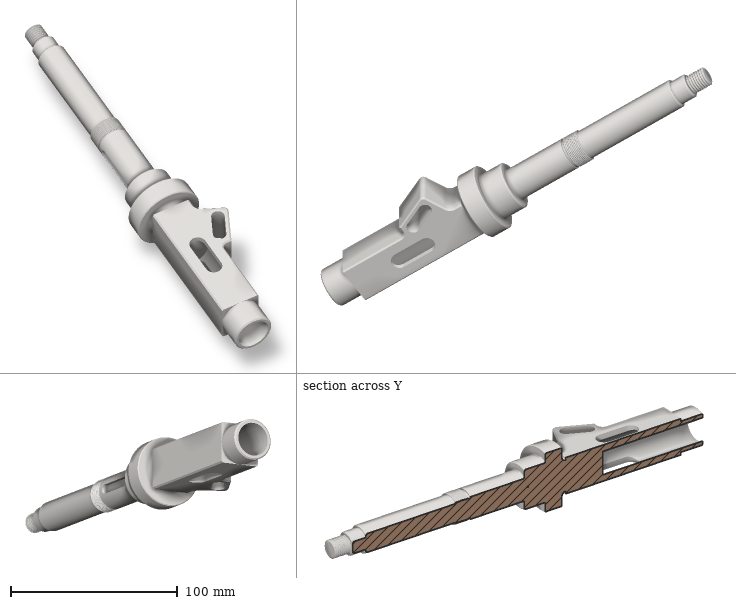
import cadquery as cq
import math

TIP_THREAD_END = 12.2
PILOT_END = 22.0
SHAFT_END = 88.0
COLLAR_THREAD_END = 97.8
KEY_SEAT_START = 99.2
BOSS_START = 139.0
FLANGE_START = 154.5
FLANGE_END = 167.0
BLOCK_START = 169.5
BLOCK_END = 254.7
LENGTH = 271.0

TIP_THREAD_DIA = 12.0
PILOT_DIA = 15.2
SHAFT_DIA = 18.2
COLLAR_THREAD_DIA = 20.0
KEY_SEAT_DIA = 20.0
RELIEF_DIA = 18.5
BOSS_DIA = 30.0
FLANGE_DIA = 42.0
TAIL_DIA = 25.0

EDGE_CHAMFER = 0.8
FLANGE_CHAMFER = 0.5
SHOULDER_FILLET = 0.8
BLOCK_CHAMFER = 0.95

TIP_THREAD_PITCH = 1.52
COLLAR_THREAD_PITCH = 1.0
THREAD_DEPTH_RATIO = 0.6
THREAD_FLAT_RATIO = 0.125

KEYWAY_START = 102.5
KEYWAY_END = 134.0
KEYWAY_WIDTH = 5.7
KEYWAY_DEPTH = 3.0

BLOCK_SIZE = TAIL_DIA
SLOT_CENTER_X = 212.2
SLOT_LENGTH = 29.8
SLOT_WIDTH = 10.3

BORE_DIA = 20.0
BORE_FLOOR = SLOT_CENTER_X - SLOT_LENGTH / 2

LUG_TILT = 25.0
OVERALL_WIDTH = 50.5
LUG_TOP_Y = OVERALL_WIDTH - FLANGE_DIA / 2
LUG_CORNER_X = 185.5
LUG_END_X = 209.5
LUG_PEAK_FILLET = 2.7
LUG_FRONT_FILLET = 5.5
LUG_BACK_FILLET = 3.3
LUG_SLOT_CENTER = (195.7, 18.2)
LUG_SLOT_LENGTH = 21.7
LUG_SLOT_WIDTH = 8.0


def cylinder(start, end, diameter):
    return cq.Workplane("YZ").workplane(offset=start).circle(diameter / 2).extrude(end - start)


def threaded_cylinder(start, end, diameter, nominal_pitch):
    """Revolve an outline of whole trapezoidal teeth that fills the stretch from start to end."""
    pitches = round((end - start) / nominal_pitch)
    pitch = (end - start) / pitches
    crest = diameter / 2
    root = crest - THREAD_DEPTH_RATIO * pitch
    half_flat = THREAD_FLAT_RATIO * pitch / 2
    outline = [(start, 0), (start, root)]
    for i in range(pitches):
        left = start + i * pitch
        middle = left + pitch / 2
        right = left + pitch
        outline.append((left + half_flat, root))
        outline.append((middle - half_flat, crest))
        outline.append((middle + half_flat, crest))
        outline.append((right - half_flat, root))
    outline += [(end, root), (end, 0)]
    return cq.Workplane("XY").polyline(outline).close().revolve(360, (0, 0, 0), (1, 0, 0))


def shoulder_fillet(shoulder_x, diameter, fillet, toward):
    """Concave ring at the foot of a shoulder; toward is the X direction (+1 or -1) away from it."""
    radius = diameter / 2
    sagitta = fillet * (1 - math.sqrt(0.5))
    profile = (
        cq.Workplane("XY")
        .moveTo(shoulder_x, 0)
        .lineTo(shoulder_x, radius + fillet)
        .threePointArc(
            (shoulder_x + toward * sagitta, radius + sagitta),
            (shoulder_x + toward * fillet, radius),
        )
        .lineTo(shoulder_x + toward * fillet, 0)
        .close()
    )
    return profile.revolve(360, (0, 0, 0), (1, 0, 0))


def turned_shaft():
    sections = [
        threaded_cylinder(0, TIP_THREAD_END, TIP_THREAD_DIA, TIP_THREAD_PITCH),
        cylinder(TIP_THREAD_END, PILOT_END, PILOT_DIA).faces("<X").chamfer(EDGE_CHAMFER),
        cylinder(PILOT_END, SHAFT_END, SHAFT_DIA).faces("<X").chamfer(EDGE_CHAMFER),
        threaded_cylinder(SHAFT_END, COLLAR_THREAD_END, COLLAR_THREAD_DIA, COLLAR_THREAD_PITCH),
        cylinder(COLLAR_THREAD_END, KEY_SEAT_START, RELIEF_DIA),
        cylinder(KEY_SEAT_START, BOSS_START, KEY_SEAT_DIA),
        cylinder(BOSS_START, FLANGE_START, BOSS_DIA).faces("<X").chamfer(EDGE_CHAMFER),
        cylinder(FLANGE_START, FLANGE_END, FLANGE_DIA).faces("<X or >X").chamfer(FLANGE_CHAMFER),
        cylinder(FLANGE_END, LENGTH, TAIL_DIA).faces(">X").chamfer(EDGE_CHAMFER),
        shoulder_fillet(BOSS_START, KEY_SEAT_DIA, SHOULDER_FILLET, -1),
        shoulder_fillet(FLANGE_START, BOSS_DIA, SHOULDER_FILLET, -1),
        shoulder_fillet(FLANGE_END, TAIL_DIA, BLOCK_START - FLANGE_END, 1),
    ]
    shaft = sections[0]
    for section in sections[1:]:
        shaft = shaft.union(section)
    return shaft


def keyway():
    floor_y = KEYWAY_DEPTH - KEY_SEAT_DIA / 2
    return (
        cq.Workplane("XZ", origin=((KEYWAY_START + KEYWAY_END) / 2, floor_y, 0))
        .slot2D(KEYWAY_END - KEYWAY_START, KEYWAY_WIDTH)
        .extrude(KEY_SEAT_DIA)
    )


def block_with_lug():
    """Square block and lug cut from one outline, with both Z faces chamfered."""
    half = BLOCK_SIZE / 2
    tilt = math.radians(LUG_TILT)
    slope = math.tan(tilt)
    rounded_off = LUG_PEAK_FILLET * (math.sin(tilt) + math.cos(tilt) - 1)
    corner_y = LUG_TOP_Y + rounded_off
    front_foot_x = LUG_CORNER_X - (corner_y - half) * slope
    lug_end_y = corner_y - (LUG_END_X - LUG_CORNER_X) * slope
    outline = [
        (BLOCK_START, -half),
        (BLOCK_END, -half),
        (BLOCK_END, half),
        (LUG_END_X, half),
        (LUG_END_X, lug_end_y),
        (LUG_CORNER_X, corner_y),
        (front_foot_x, half),
        (BLOCK_START, half),
    ]
    body = (
        cq.Workplane("XY", origin=(0, 0, -half))
        .polyline(outline)
        .close()
        .extrude(BLOCK_SIZE)
    )
    front_foot = cq.selectors.NearestToPointSelector((front_foot_x, half, 0))
    peak = cq.selectors.NearestToPointSelector((LUG_CORNER_X, corner_y, 0))
    back_foot = cq.selectors.NearestToPointSelector((LUG_END_X, half, 0))
    body = body.edges(front_foot).fillet(LUG_FRONT_FILLET)
    body = body.edges(peak).fillet(LUG_PEAK_FILLET)
    body = body.edges(back_foot).fillet(LUG_BACK_FILLET)
    long_edges = body.faces("|Z").edges("not(<X or >X)")
    return long_edges.chamfer(BLOCK_CHAMFER)


def through_slot(center, length, width, angle):
    return (
        cq.Workplane("XY", origin=(*center, -BLOCK_SIZE))
        .slot2D(length, width, angle)
        .extrude(2 * BLOCK_SIZE)
    )


result = (
    turned_shaft()
    .cut(keyway())
    .union(block_with_lug())
    .cut(cylinder(BORE_FLOOR, LENGTH, BORE_DIA))
    .cut(through_slot((SLOT_CENTER_X, 0), SLOT_LENGTH, SLOT_WIDTH, 0))
    .cut(through_slot(LUG_SLOT_CENTER, LUG_SLOT_LENGTH, LUG_SLOT_WIDTH, -LUG_TILT))
)